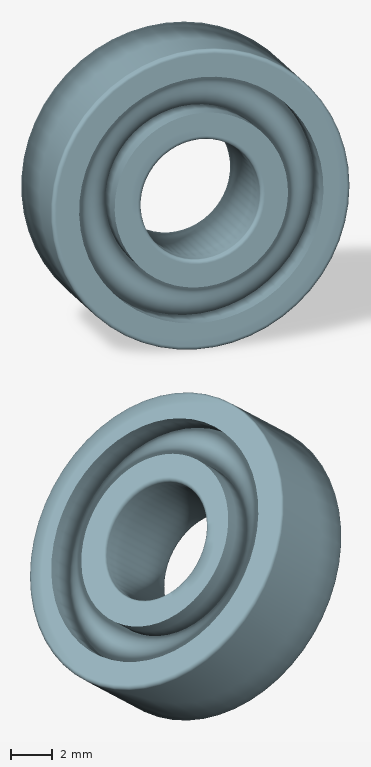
import cadquery as cq
import math

outer_diameter = 15.0
bore_diameter = 6.0
width = 5.0
edge_radius = 0.2

recess_inner_diameter = 8.72
recess_outer_diameter = 12.28
ball_diameter = 2.75

half_width = width / 2
ball_radius = ball_diameter / 2
recess_inner_radius = recess_inner_diameter / 2
recess_outer_radius = recess_outer_diameter / 2
pitch_radius = (recess_inner_radius + recess_outer_radius) / 2
half_gap = (recess_outer_radius - recess_inner_radius) / 2

wall_end = math.sqrt(ball_radius**2 - half_gap**2)


def make_ring():
    """Plain ring with rounded edges at the bore and the outside."""
    ring = (
        cq.Workplane("YZ", origin=(-half_width, 0, 0))
        .circle(outer_diameter / 2)
        .circle(bore_diameter / 2)
        .extrude(width)
    )
    return ring.faces("<X or >X").edges().fillet(edge_radius)


def make_recess(side):
    """Annular recess on the -X (side = -1) or +X (side = +1) face."""
    return (
        cq.Workplane("XZ")
        .moveTo(side * half_width, recess_inner_radius)
        .lineTo(side * wall_end, recess_inner_radius)
        .threePointArc(
            (side * ball_radius, pitch_radius),
            (side * wall_end, recess_outer_radius),
        )
        .lineTo(side * half_width, recess_outer_radius)
        .close()
        .revolve(360, (0, 0, 0), (1, 0, 0))
    )


result = make_ring()
for side in (-1, 1):
    result = result.cut(make_recess(side))